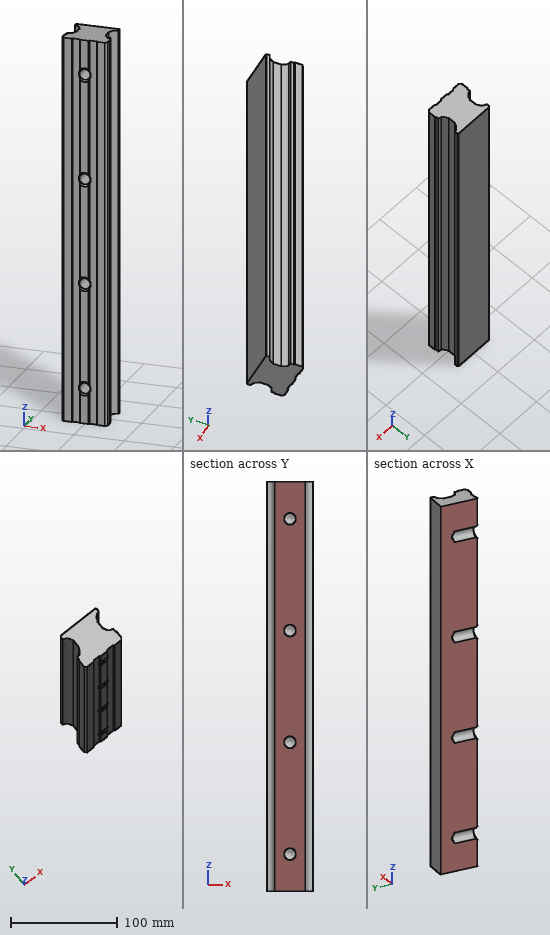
import cadquery as cq
import math

RAIL_WIDTH = 45.0
RAIL_HEIGHT = 39.0
RAIL_LENGTH = 385.0

FOOT_CHAMFER = 2.0
FOOT_SIDE_TOP = 9.3
FOOT_STEP_TOP = 10.2
SHOULDER_HEIGHT = 13.5

HEAD_WIDTH = 43.4
HEAD_CHAMFER = 0.9
LIP_HEIGHT = 35.0

GROOVE_CENTRE = 23.9
WAIST_WIDTH = 29.0
WAIST_HALF_HEIGHT = 4.1
RACEWAY_INNER_WIDTH = 31.6
RACEWAY_INNER_OFFSET = 6.4
RACEWAY_OUTER_WIDTH = 37.0
RACEWAY_OUTER_OFFSET = 9.8
RACEWAY_RADIUS = 6.0

CHANNEL_INNER = 4.0
CHANNEL_OUTER = 12.7
CHANNEL_DEPTH = 1.0
CHANNEL_WALL_RUN = 0.8

HOLE_COUNT = 4
HOLE_PITCH = 105.0
HOLE_DIAMETER = 10.8
HOLE_DEPTH = 24.0
DRILL_POINT_ANGLE = 118.0
COUNTERSINK_DIAMETER = 14.0


def arc_middle(start, end, radius):
    """Midpoint of the short arc lying on the left of the line from start to end."""
    dx = end[0] - start[0]
    dy = end[1] - start[1]
    chord = math.hypot(dx, dy)
    sagitta = radius - math.sqrt(radius**2 - (chord / 2)**2)
    middle_x = (start[0] + end[0]) / 2 - sagitta * dy / chord
    middle_y = (start[1] + end[1]) / 2 + sagitta * dx / chord
    return (middle_x, middle_y)


def make_half_rail():
    """Extrude the +X half of the rail section, bounded by the plane X = 0."""
    half_width = RAIL_WIDTH / 2
    half_head = HEAD_WIDTH / 2
    half_waist = WAIST_WIDTH / 2
    lower_outer = (RACEWAY_OUTER_WIDTH / 2, GROOVE_CENTRE - RACEWAY_OUTER_OFFSET)
    lower_inner = (RACEWAY_INNER_WIDTH / 2, GROOVE_CENTRE - RACEWAY_INNER_OFFSET)
    upper_inner = (RACEWAY_INNER_WIDTH / 2, GROOVE_CENTRE + RACEWAY_INNER_OFFSET)
    upper_outer = (RACEWAY_OUTER_WIDTH / 2, GROOVE_CENTRE + RACEWAY_OUTER_OFFSET)
    return (
        cq.Workplane("XY")
        .workplane(offset=-RAIL_LENGTH / 2)
        .moveTo(0, 0)
        .lineTo(half_width - FOOT_CHAMFER, 0)
        .lineTo(half_width, FOOT_CHAMFER)
        .lineTo(half_width, FOOT_SIDE_TOP)
        .lineTo(half_head, FOOT_STEP_TOP)
        .lineTo(half_head, SHOULDER_HEIGHT)
        .lineTo(*lower_outer)
        .threePointArc(arc_middle(lower_outer, lower_inner, RACEWAY_RADIUS), lower_inner)
        .lineTo(half_waist, GROOVE_CENTRE - WAIST_HALF_HEIGHT)
        .lineTo(half_waist, GROOVE_CENTRE + WAIST_HALF_HEIGHT)
        .lineTo(*upper_inner)
        .threePointArc(arc_middle(upper_inner, upper_outer, RACEWAY_RADIUS), upper_outer)
        .lineTo(half_head, LIP_HEIGHT)
        .lineTo(half_head, RAIL_HEIGHT - HEAD_CHAMFER)
        .lineTo(half_head - HEAD_CHAMFER, RAIL_HEIGHT)
        .lineTo(0, RAIL_HEIGHT)
        .close()
        .extrude(RAIL_LENGTH)
    )


def make_channel():
    """Cutter for the relief channel on the +X side of the mounting face."""
    return (
        cq.Workplane("XY")
        .workplane(offset=-RAIL_LENGTH / 2)
        .moveTo(CHANNEL_INNER, 0)
        .lineTo(CHANNEL_OUTER, 0)
        .lineTo(CHANNEL_OUTER - CHANNEL_WALL_RUN, CHANNEL_DEPTH)
        .lineTo(CHANNEL_INNER + CHANNEL_WALL_RUN, CHANNEL_DEPTH)
        .close()
        .extrude(RAIL_LENGTH)
    )


def make_hole(z):
    """Cutter for one blind countersunk hole, a profile revolved about an axis along Y."""
    hole_radius = HOLE_DIAMETER / 2
    mouth_radius = COUNTERSINK_DIAMETER / 2
    countersink_depth = mouth_radius - hole_radius
    point_length = hole_radius / math.tan(math.radians(DRILL_POINT_ANGLE / 2))
    return (
        cq.Workplane("XY")
        .moveTo(0, 0)
        .lineTo(mouth_radius, 0)
        .lineTo(hole_radius, countersink_depth)
        .lineTo(hole_radius, HOLE_DEPTH)
        .lineTo(0, HOLE_DEPTH + point_length)
        .close()
        .revolve(360, (0, 0, 0), (0, 1, 0))
        .translate((0, 0, z))
    )


half_rail = make_half_rail().cut(make_channel())
result = half_rail.union(half_rail.mirror("YZ"))

first_hole_z = -HOLE_PITCH * (HOLE_COUNT - 1) / 2
for index in range(HOLE_COUNT):
    result = result.cut(make_hole(first_hole_z + index * HOLE_PITCH))